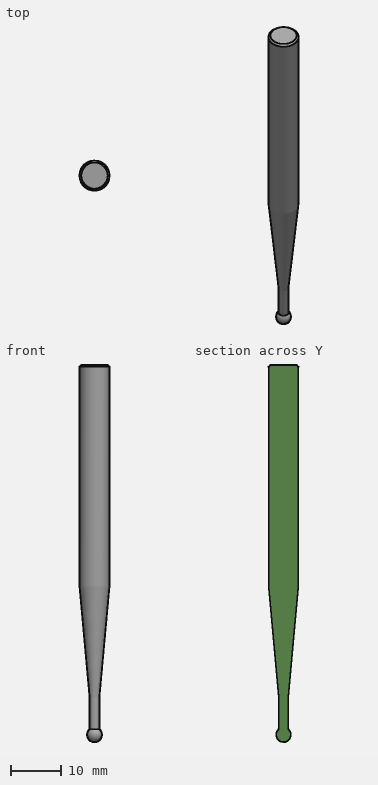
import cadquery as cq
import math

overall_length = 75.0
shank_diameter = 6.0
shank_chamfer = 0.4
ball_diameter = 3.0
neck_diameter = 2.0
neck_top = 9.0
taper_top = 31.0

shank_radius = shank_diameter / 2
ball_radius = ball_diameter / 2
neck_radius = neck_diameter / 2
ball_top = ball_radius + math.sqrt(ball_radius**2 - neck_radius**2)


def half_profile():
    """Closed outline of one half of the tool: radius along X, axis along Z."""
    return (
        cq.Workplane("XZ")
        .moveTo(0, 0)
        .threePointArc((ball_radius, ball_radius), (neck_radius, ball_top))
        .lineTo(neck_radius, neck_top)
        .lineTo(shank_radius, taper_top)
        .lineTo(shank_radius, overall_length - shank_chamfer)
        .lineTo(shank_radius - shank_chamfer, overall_length)
        .lineTo(0, overall_length)
        .close()
    )


result = half_profile().revolve(360, (0, 0, 0), (0, 1, 0))